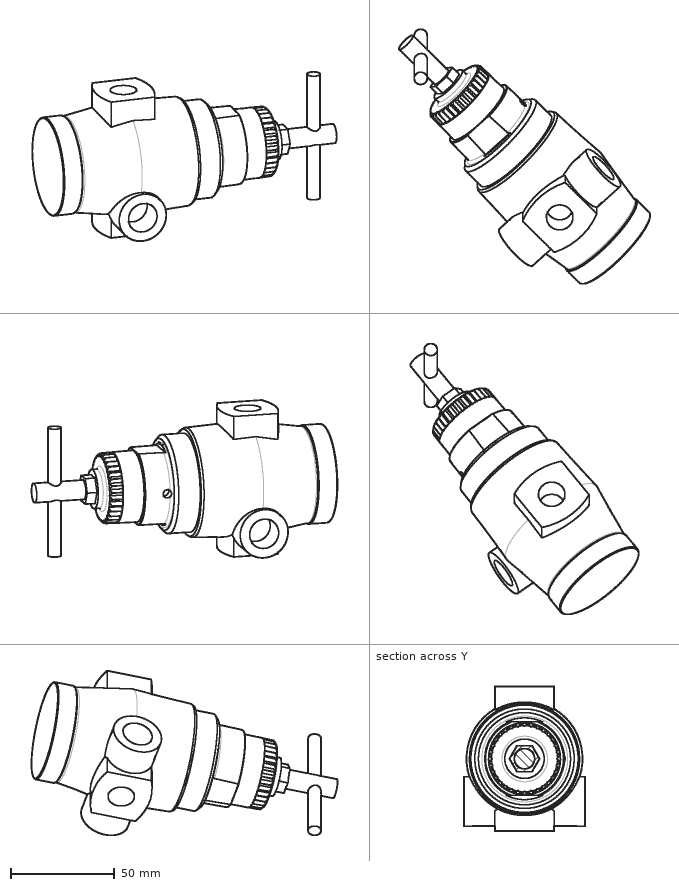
import cadquery as cq
import math


body_foot_y = -38.6
body_top_y = 30.7
foot_radius = 24.08
foot_edge_chamfer = 0.45
foot_top_y = -28.7
neck_radius = foot_radius - foot_edge_chamfer
neck_y = -27.8
belly_radius = 28.15
shoulder_radius = 26.7
shoulder_y = 29.5
shoulder_step = 0.7

side_port_length = 58.67
side_port_diameter = 24.1
side_port_bore = 14.6
side_port_z = -20.65
port_depth = 15.0

boss_height = 70.1
boss_width = 28.6
boss_crown_y = 14.2
boss_corner_y = 11.1
gauge_port_bore = 12.8

collar_radius = foot_radius
collar_top_y = 43.25
collar_chamfer = 1.75
waist_top_y = 57.1
waist_bottom_radius = 19.4
waist_top_radius = 19.2
waist_top_chamfer = 0.3
waist_fillet = 1.4
flat_height = 17.8
flat_gap_above_collar = 0.4
vent_diameter = 4.1
vent_y = 45.9
vent_depth = 5.0
band_bottom_radius = 17.45
band_top_radius = 17.25
grip_bottom_y = 67.4
grip_top_y = 74.0
grip_chamfer = 1.1
grip_tooth_count = 32
grip_tooth_depth = 1.6
crown_fillet = 1.5
crown_radius = 9.55
bonnet_top_y = 77.9

nut_across_flats = 12.7
nut_top_y = 82.8
spindle_diameter = 9.525
spindle_end_y = 107.49
bar_diameter = 6.35
bar_length = 63.8
bar_y = 97.2


def turned(outline):
    """Solid of revolution about the Y axis from a closed half outline in ZY."""
    return outline.close().revolve(360, (0, 0, 0), (0, 1, 0))


def along_y(start, end):
    """Workplane across Y at the start position, and its signed extrusion to the end."""
    return cq.Workplane("XZ", origin=(0, start, 0)), start - end


def rod_along_y(diameter, start, end):
    plane, length = along_y(start, end)
    return plane.circle(diameter / 2).extrude(length)


def make_body():
    shell = turned(
        cq.Workplane("ZY")
        .moveTo(0, body_foot_y)
        .lineTo(foot_radius - foot_edge_chamfer, body_foot_y)
        .lineTo(foot_radius, body_foot_y + foot_edge_chamfer)
        .lineTo(foot_radius, foot_top_y - foot_edge_chamfer)
        .lineTo(neck_radius, foot_top_y)
        .lineTo(neck_radius, neck_y)
        .lineTo(belly_radius, 0)
        .lineTo(shoulder_radius, shoulder_y)
        .lineTo(shoulder_radius - shoulder_step, body_top_y)
        .lineTo(0, body_top_y)
    )
    half_width = boss_width / 2
    bosses = (
        cq.Workplane("XY", origin=(0, 0, -boss_height / 2))
        .moveTo(-half_width, -boss_corner_y)
        .threePointArc((0, -boss_crown_y), (half_width, -boss_corner_y))
        .lineTo(half_width, boss_corner_y)
        .threePointArc((0, boss_crown_y), (-half_width, boss_corner_y))
        .close()
        .extrude(boss_height)
    )
    tube = (
        cq.Workplane("YZ", origin=(-side_port_length / 2, 0, side_port_z))
        .circle(side_port_diameter / 2)
        .extrude(side_port_length)
    )
    body = shell.union(bosses).union(tube)
    for side in (-1, 1):
        side_bore = (
            cq.Workplane("YZ", origin=(side * side_port_length / 2, 0, side_port_z))
            .circle(side_port_bore / 2)
            .extrude(-side * port_depth)
        )
        gauge_bore = (
            cq.Workplane("XY", origin=(0, 0, side * boss_height / 2))
            .circle(gauge_port_bore / 2)
            .extrude(-side * port_depth)
        )
        body = body.cut(side_bore).cut(gauge_bore)
    return body


def make_grip():
    """Ring of V teeth on the drafted band, chamfered at the top, with a valley on each main axis."""
    valley_radius = band_top_radius - grip_tooth_depth
    half_pitch = math.pi / grip_tooth_count
    outline = []
    for step in range(2 * grip_tooth_count):
        radius = band_top_radius if step % 2 else valley_radius
        angle = step * half_pitch
        outline.append((radius * math.cos(angle), radius * math.sin(angle)))
    plane, length = along_y(grip_bottom_y, grip_top_y)
    teeth = plane.polyline(outline).close().extrude(length)

    band_draft = (band_bottom_radius - band_top_radius) / (grip_bottom_y - waist_top_y)
    grip_top_radius = band_top_radius - band_draft * (grip_top_y - grip_bottom_y)
    blank = turned(
        cq.Workplane("ZY")
        .moveTo(0, grip_bottom_y)
        .lineTo(band_top_radius, grip_bottom_y)
        .lineTo(grip_top_radius, grip_top_y - grip_chamfer)
        .lineTo(grip_top_radius - grip_chamfer, grip_top_y)
        .lineTo(0, grip_top_y)
    )
    return teeth.intersect(blank)


def make_bonnet():
    fillet_mid = 1 - math.sqrt(0.5)
    waist_mid = waist_fillet * fillet_mid
    crown_mid = crown_fillet * fillet_mid
    bonnet = turned(
        cq.Workplane("ZY")
        .moveTo(0, body_top_y)
        .lineTo(collar_radius, body_top_y)
        .lineTo(collar_radius, collar_top_y - collar_chamfer)
        .lineTo(collar_radius - collar_chamfer, collar_top_y)
        .lineTo(waist_bottom_radius + waist_fillet, collar_top_y)
        .threePointArc(
            (waist_bottom_radius + waist_mid, collar_top_y + waist_mid),
            (waist_bottom_radius, collar_top_y + waist_fillet),
        )
        .lineTo(waist_top_radius, waist_top_y - waist_top_chamfer)
        .lineTo(waist_top_radius - waist_top_chamfer, waist_top_y)
        .lineTo(band_bottom_radius, waist_top_y)
        .lineTo(band_top_radius, grip_bottom_y)
        .lineTo(crown_radius + crown_fillet, grip_bottom_y)
        .lineTo(crown_radius + crown_fillet, grip_top_y)
        .threePointArc(
            (crown_radius + crown_mid, grip_top_y + crown_mid),
            (crown_radius, grip_top_y + crown_fillet),
        )
        .lineTo(crown_radius, bonnet_top_y)
        .lineTo(0, bonnet_top_y)
    )
    flat_bottom_y = collar_top_y + flat_gap_above_collar
    flat_length = waist_top_y - flat_bottom_y
    flat_middle_y = (waist_top_y + flat_bottom_y) / 2
    for side in (-1, 1):
        flat = (
            cq.Workplane("XY", origin=(0, flat_middle_y, side * flat_height))
            .rect(2 * collar_radius, flat_length)
            .extrude(side * (collar_radius - flat_height))
        )
        bonnet = bonnet.cut(flat)
    vent = (
        cq.Workplane("YZ", origin=(-collar_radius, vent_y, 0))
        .circle(vent_diameter / 2)
        .extrude(collar_radius - waist_bottom_radius + vent_depth)
    )
    return bonnet.union(make_grip()).cut(vent)


def make_spindle():
    rod = rod_along_y(spindle_diameter, bonnet_top_y, spindle_end_y)
    return rod.cut(make_bar())


def make_nut():
    plane, length = along_y(bonnet_top_y, nut_top_y)
    corner_diameter = nut_across_flats / math.cos(math.pi / 6)
    return plane.polygon(6, corner_diameter).circle(spindle_diameter / 2).extrude(length)


def make_bar():
    return (
        cq.Workplane("XY", origin=(0, bar_y, -bar_length / 2))
        .circle(bar_diameter / 2)
        .extrude(bar_length)
    )


body = make_body()
bonnet = make_bonnet()
nut = make_nut()
spindle = make_spindle()
bar = make_bar()
result = cq.Compound.makeCompound([body.val(), bonnet.val(), nut.val(), spindle.val(), bar.val()])